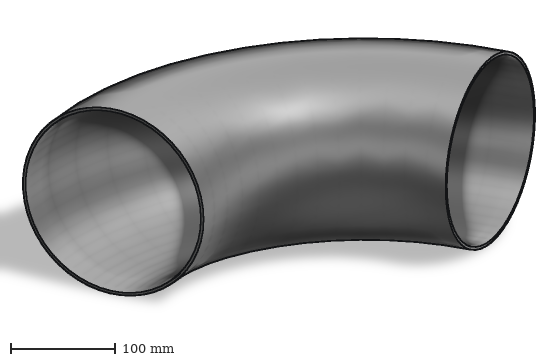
import cadquery as cq

overall_length = 367.0
outer_diameter = 193.7
wall_thickness = 3.0
bend_angle = 90.0

outer_radius = outer_diameter / 2
inner_radius = outer_radius - wall_thickness
bend_radius = overall_length - outer_radius

axis_start = (bend_radius, 0)
axis_end = (bend_radius, -1)
result = (
    cq.Workplane("XZ")
    .circle(outer_radius)
    .circle(inner_radius)
    .revolve(bend_angle, axis_start, axis_end)
)